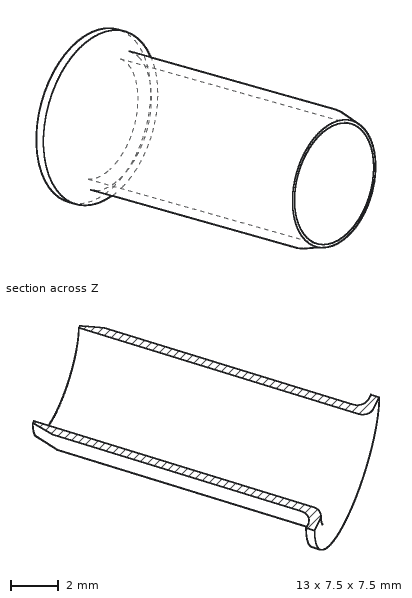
import cadquery as cq
import math

length = 13.0
flange_diameter = 7.5
flange_thickness = 0.39
tube_diameter = 6.0
bore_diameter = 5.2
neck_fillet = 0.51
mouth_fillet = 0.5
tip_length = 1.0
tip_angle = 15.0

flange_radius = flange_diameter / 2
tube_radius = tube_diameter / 2
bore_radius = bore_diameter / 2
tip_radius = tube_radius - tip_length * math.tan(math.radians(tip_angle))
neck_end = flange_thickness + neck_fillet

wall_section = (
    cq.Workplane("XY")
    .moveTo(0, bore_radius + mouth_fillet)
    .lineTo(0, flange_radius)
    .lineTo(flange_thickness, flange_radius)
    .lineTo(flange_thickness, tube_radius + neck_fillet)
    .radiusArc((neck_end, tube_radius), -neck_fillet)
    .lineTo(length - tip_length, tube_radius)
    .lineTo(length, tip_radius)
    .lineTo(length, bore_radius)
    .lineTo(mouth_fillet, bore_radius)
    .radiusArc((0, bore_radius + mouth_fillet), mouth_fillet)
    .close()
)

result = wall_section.revolve(360, (0, 0, 0), (1, 0, 0))